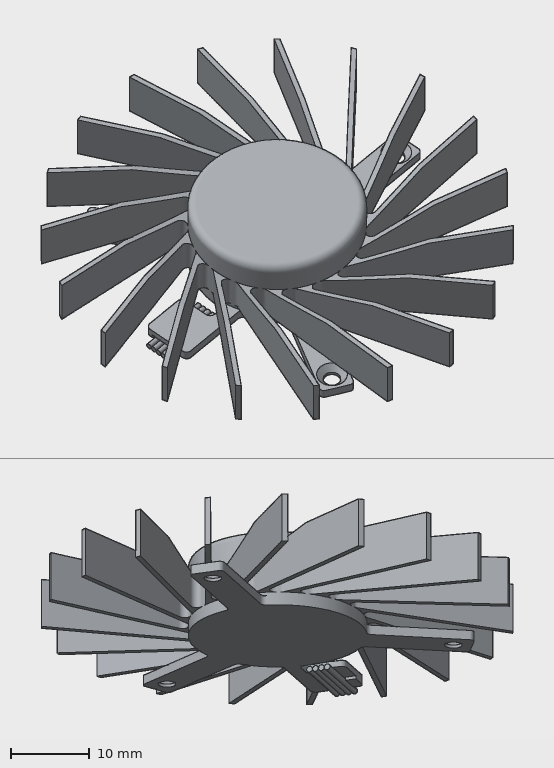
import cadquery as cq
import math

hub_diameter = 22.7
hub_radius = hub_diameter / 2
hub_height = 10.2
hub_edge_fillet = 1.0

blade_count = 19
blade_thickness = 0.7
blade_offset = 8.75
blade_tip_radius = 30.0
blade_bottom = 1.75
blade_top = 8.1
blade_height = blade_top - blade_bottom
first_blade_angle = 92.2
root_fillet = 0.8
slope_outer_radius = 19.9
slope_drop = 1.9

base_thickness = 1.25
arm_angles = (90, 210, 330)
arm_width = 4.5
arm_end = 24.9
arm_corner_radius = 0.6
base_root_fillet = 0.7
screw_distance = 22.5
screw_hole_diameter = 2.2
countersink_diameter = 3.9
countersink_angle = 90

pad_width = 7.0
pad_inner = 14.3
pad_outer = 20.95
pad_corner_radius = 0.7
neck_width = 2.0
neck_fillet = 0.7

wire_count = 4
wire_diameter = 0.8
wire_gap = 0.03
wire_pitch = wire_diameter + wire_gap
wire_center_x = -0.5
wire_inner = 12.85
wire_outer = 22.4
recess_depth = 0.4
recess_outer = 18.2
channel_mouth_fillet = 0.4
channel_width = (wire_count - 1) * wire_pitch + wire_diameter


def make_hub():
    drum = cq.Workplane("XY").circle(hub_radius).extrude(hub_height)
    return drum.faces(">Z").edges().fillet(hub_edge_fillet)


def make_root_web(face, side):
    """Fills the corner between the hub and the blade face at Y = face (side: +1 or -1)."""
    center_y = face + side * root_fillet
    center_x = math.sqrt((hub_radius + root_fillet) ** 2 - center_y**2)
    hub_touch = hub_radius / (hub_radius + root_fillet)
    plane = cq.Workplane("XY").workplane(offset=blade_bottom)
    corner = (
        plane.moveTo(0, face)
        .lineTo(center_x, face)
        .lineTo(center_x, center_y)
        .lineTo(center_x * hub_touch, center_y * hub_touch)
        .close()
        .extrude(blade_height)
    )
    return corner.cut(plane.center(center_x, center_y).circle(root_fillet).extrude(blade_height))


def make_slope_cutter():
    """Cone-shaped cut that slopes the tops of the blades down toward the hub."""
    slope = slope_drop / (slope_outer_radius - hub_radius)
    profile = (
        cq.Workplane("XZ")
        .moveTo(0, blade_top)
        .lineTo(slope_outer_radius, blade_top)
        .lineTo(0, blade_top - slope * slope_outer_radius)
        .close()
    )
    return profile.revolve(360, (0, 0, 0), (0, 1, 0))


def make_blade():
    """One blade along +X, with a fillet on each side where it leaves the hub."""
    inner_face = -blade_offset + blade_thickness / 2
    outer_face = -blade_offset - blade_thickness / 2
    strip = cq.Workplane("XY").box(blade_tip_radius, blade_thickness, blade_height, centered=False)
    tip_cylinder = cq.Workplane("XY").circle(blade_tip_radius).extrude(blade_top)
    blade = strip.translate((0, outer_face, blade_bottom)).intersect(tip_cylinder)
    blade = blade.union(make_root_web(inner_face, 1)).union(make_root_web(outer_face, -1))
    return blade.cut(make_slope_cutter())


def make_blades():
    blade = make_blade()
    turns = [first_blade_angle + i * 360 / blade_count for i in range(blade_count)]
    return [blade.rotate((0, 0, 0), (0, 0, 1), turn) for turn in turns]


def make_arm():
    """One screw arm along +X."""
    arm = (
        cq.Workplane("XY")
        .center(arm_end / 2, 0)
        .rect(arm_end, arm_width)
        .extrude(base_thickness)
        .edges("|Z and >X")
        .fillet(arm_corner_radius)
    )
    return (
        arm.faces(">Z")
        .workplane(origin=(screw_distance, 0, base_thickness))
        .cskHole(screw_hole_diameter, countersink_diameter, countersink_angle)
    )


def make_holder_pad():
    right = pad_width / 2
    neck_left = right - neck_width
    return (
        cq.Workplane("XY")
        .moveTo(neck_left, 0)
        .lineTo(neck_left, -pad_inner)
        .lineTo(-right, -pad_inner)
        .lineTo(-right, -pad_outer)
        .lineTo(right, -pad_outer)
        .lineTo(right, 0)
        .close()
        .extrude(base_thickness)
        .edges("|Z")
        .edges("<Y or <X")
        .fillet(pad_corner_radius)
        .edges(cq.selectors.NearestToPointSelector((neck_left, -pad_inner, base_thickness / 2)))
        .fillet(neck_fillet)
    )


def make_wire_recess():
    """Underside recess, open to the left and toward the hub, with a channel out to the pad's outer edge."""
    left = -pad_width / 2
    channel_left = wire_center_x - channel_width / 2
    channel_right = wire_center_x + channel_width / 2
    mouth = channel_mouth_fillet
    inner_end = -pad_inner + neck_fillet
    return (
        cq.Workplane("XY")
        .moveTo(left, inner_end)
        .lineTo(left, -recess_outer)
        .lineTo(channel_left, -recess_outer)
        .lineTo(channel_left, -pad_outer + mouth)
        .radiusArc((channel_left - mouth, -pad_outer), mouth)
        .lineTo(channel_right + mouth, -pad_outer)
        .radiusArc((channel_right, -pad_outer + mouth), mouth)
        .lineTo(channel_right, inner_end)
        .close()
        .extrude(recess_depth)
    )


def make_base():
    base = cq.Workplane("XY").circle(hub_radius).extrude(base_thickness)
    for angle in arm_angles:
        base = base.union(make_arm().rotate((0, 0, 0), (0, 0, 1), angle))
    base = base.union(make_holder_pad())
    hub_square = cq.selectors.BoxSelector(
        (-hub_radius, -hub_radius, 0), (hub_radius, hub_radius, base_thickness)
    )
    base = base.edges("|Z").edges(hub_square).fillet(base_root_fillet)
    return base.cut(make_wire_recess())


def make_frame():
    frame = make_base().union(make_hub())
    for blade in make_blades():
        frame = frame.union(blade)
    return frame


def make_wire(index):
    x = wire_center_x + (index - (wire_count - 1) / 2) * wire_pitch
    wire = cq.Workplane("XZ", origin=(x, -wire_inner, recess_depth - wire_diameter / 2))
    return wire.circle(wire_diameter / 2).extrude(wire_outer - wire_inner)


frame = make_frame()
wires = [make_wire(i) for i in range(wire_count)]
result = cq.Compound.makeCompound([frame.val(), *[wire.val() for wire in wires]])